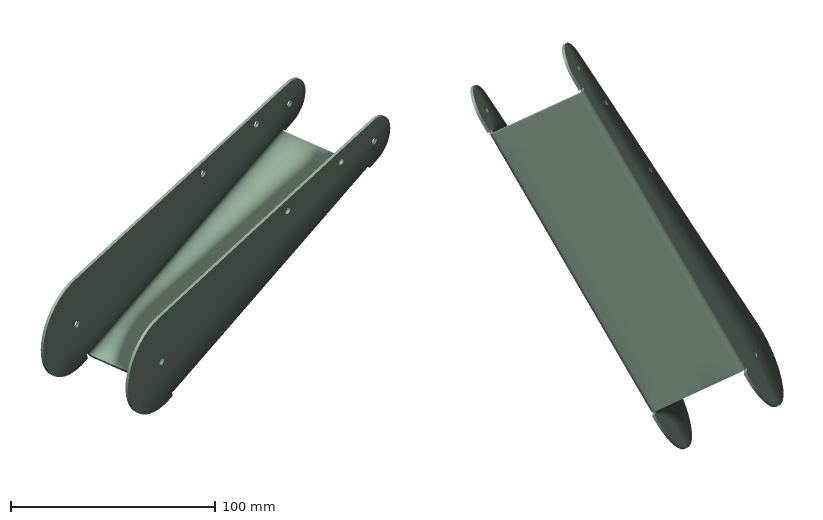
import cadquery as cq
import math

width = 53.0
thickness = 1.5
bend_radius = 3.0
inner_radius = bend_radius - thickness

small_radius = 13.0
large_radius = 28.0
center_run = 175.5
center_rise = 29.0
hole_diameter = 4.0
edge_hole_inset = 7.0
edge_hole_distances = (27.0, 71.2)

base_start = 8.7
base_end = 173.6
relief_width = 1.5
relief_depth = 4.1

center_distance = math.hypot(center_run, center_rise)
taper = math.asin((large_radius - small_radius) / center_distance)
tilt = math.atan2(center_rise, center_run) + taper
edge_length = center_distance * math.cos(taper)
base_front = edge_length - base_end
base_back = edge_length - base_start
base_length = base_end - base_start
large_center = (0, large_radius)
small_center = (edge_length, small_radius)
upper_edge_angle = -2 * taper


def from_center(center, along, outward):
    """Point offset from a center, parallel and perpendicular to the upper edge."""
    c = math.cos(upper_edge_angle)
    s = math.sin(upper_edge_angle)
    return (center[0] + along * c - outward * s, center[1] + along * s + outward * c)


def side_plate(left_x):
    plane = cq.Workplane("YZ", origin=(left_x, 0, 0))
    plate = (
        plane.moveTo(0, 0)
        .lineTo(edge_length, 0)
        .threePointArc(
            (small_center[0] + small_radius, small_center[1]),
            from_center(small_center, 0, small_radius),
        )
        .lineTo(*from_center(large_center, 0, large_radius))
        .threePointArc((-large_radius, large_radius), (0, 0))
        .close()
        .extrude(thickness)
    )
    edge_holes = [
        from_center(small_center, -distance, small_radius - edge_hole_inset)
        for distance in edge_hole_distances
    ]
    holes = (
        plane.pushPoints([large_center, small_center] + edge_holes)
        .circle(hole_diameter / 2)
        .extrude(thickness)
    )
    bend_gap = (
        plane.moveTo(base_front, 0)
        .lineTo(base_back, 0)
        .lineTo(base_back, bend_radius)
        .lineTo(base_front, bend_radius)
        .close()
        .extrude(thickness)
    )
    plate = plate.cut(holes).cut(bend_gap)
    for relief_y in (base_front - relief_width / 2, base_back + relief_width / 2):
        relief = (
            plane.center(relief_y, 0)
            .slot2D(2 * relief_depth, relief_width, angle=90)
            .extrude(thickness)
        )
        plate = plate.cut(relief)
    return plate


def bent_base():
    """Base sheet with its two bends, ending where the side plates begin."""
    outer = cq.Workplane("XY").box(
        width, base_length, 2 * bend_radius, centered=(True, False, False)
    )
    outer = outer.edges("|Y and <Z").fillet(bend_radius)
    inner = cq.Workplane("XY", origin=(0, 0, thickness)).box(
        width - 2 * thickness, base_length, 2 * bend_radius, centered=(True, False, False)
    )
    inner = inner.edges("|Y and <Z").fillet(inner_radius)
    above_bends = cq.Workplane("XY", origin=(0, 0, bend_radius)).box(
        width, base_length, bend_radius, centered=(True, False, False)
    )
    return outer.cut(inner).cut(above_bends).translate((0, base_front, 0))


flat_part = (
    bent_base()
    .union(side_plate(-width / 2))
    .union(side_plate(width / 2 - thickness))
)
result = flat_part.rotate((0, 0, 0), (1, 0, 0), math.degrees(tilt))